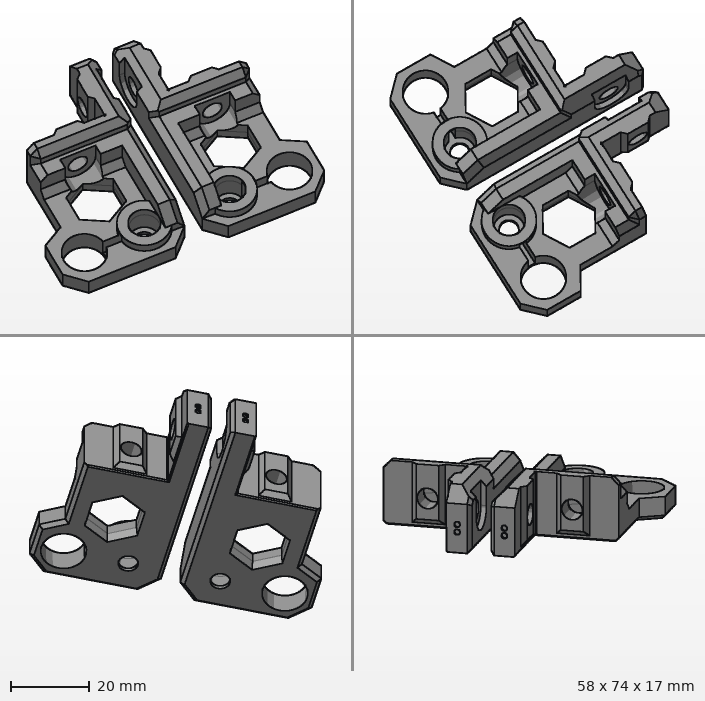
import cadquery as cq
import math

body_gap = 5.0
length = 58.0
width = 34.5
height = 17.0

arm_thickness = 6.5
arm_top_bevel = 3.4
arm_end_bevel = 4.0
arm_corner_bevel = 1.0
arm_corner_drop = 1.55
post_x = 20.0
post_width = 28.5
post_top = 2.0
post_bevel = 2.0
ledge_width = 4.0
ledge_z = 13.0
foot_bevel = 2.0

plate_thickness = 6.0
plate_corner = 4.95
ear_x = 39.5
ear_slope = 60.0
plate_bottom_bevel = 1.0
wall_bottom_bevel = 0.4

rail_width = 5.4
rail_bevel = 2.0
rail_slope_x = 48.6
rail_slope_drop = 3.5

pad_depth = 1.3
pad_flat = 6.0
pad_bottom_z = 1.1
arm_pad_x = 10.0
post_pad_y = 16.5
arm_hole_z = 8.6
post_hole_z = 8.1
wall_hole = 5.4
head_slot_width = 10.0
arm_slot_depth = 1.5
post_slot_x = 25.0

screw_hole = 5.0
hex_x = 35.7
hex_flats = 13.25
hex_mouth_flats = 13.8
hex_mouth_depth = 3.0
bore_x = 49.3
clearance_bore = 11.6
clearance_bore_y = 26.5
ring_y = 9.55
ring_diameter = 14.0
ring_top = 8.5
socket_diameter = 8.0
socket_mouth = 8.3
socket_mouth_z = 6.6
socket_floor_z = 1.0
tie_slot_width = 2.0
tie_slot_top = 8.1

marker_diameter = 1.5
marker_depth = 0.5
marker_y = 3.7
marker_heights = (5.5, 7.5)
relief_reach = 0.3

slope_x = post_x + post_top
riser_x = slope_x + post_bevel
ledge_end = riser_x + ledge_width
foot_end = ledge_end + foot_bevel
rail_end = length - plate_corner
riser_top = height - post_bevel
far = 2 * length


def prism_y(points, y0, y1):
    """Solid with an XZ outline, reaching from y0 to y1."""
    return cq.Workplane("XZ", origin=(0, y0, 0)).polyline(points).close().extrude(y0 - y1)


def prism_x(points, x0, x1):
    """Solid with a YZ outline, reaching from x0 to x1."""
    return cq.Workplane("YZ", origin=(x0, 0, 0)).polyline(points).close().extrude(x1 - x0)


def prism_z(points, z0, z1):
    """Solid with an XY outline, reaching from z0 to z1."""
    return cq.Workplane("XY", origin=(0, 0, z0)).polyline(points).close().extrude(z1 - z0)


def cylinder_z(x, y, diameter, z0, z1):
    return cq.Workplane("XY", origin=(x, y, z0)).circle(diameter / 2).extrude(z1 - z0)


def beyond(point, normal):
    """Everything on the outer side of a plane, as a large block."""
    plane = cq.Plane(origin=point, normal=normal)
    return cq.Workplane(plane).rect(far, far).extrude(far)


def make_arm():
    outline = [
        (0, 0), (slope_x, 0), (slope_x, height),
        (arm_end_bevel, height), (0, height - arm_end_bevel),
    ]
    arm = prism_y(outline, 0, arm_thickness)
    arm = arm.cut(beyond((0, 0, height - arm_top_bevel), (0, -1, 1)))
    arm = arm.cut(beyond((0, arm_corner_bevel, 0), (-1, -1, 0)))
    corner_normal = (-1, -arm_corner_drop / arm_corner_bevel, 1)
    return arm.cut(beyond((0, arm_corner_bevel, height - arm_end_bevel), corner_normal))


def make_post():
    """Stepped post whose upper edges are bevelled at both ends."""
    foot_z = plate_thickness + foot_bevel
    outline = [
        (post_x, 0), (foot_end, 0), (foot_end, plate_thickness),
        (ledge_end, foot_z), (ledge_end, ledge_z), (riser_x, ledge_z),
        (riser_x, riser_top), (slope_x, height), (post_x, height),
    ]
    post = prism_y(outline, 0, post_width)
    inset = post_width - post_bevel
    post = post.cut(beyond((0, inset, height), (0, 1, 1)))
    upper_part = prism_y(
        [(post_x, ledge_z), (riser_x, ledge_z), (riser_x, height), (post_x, height)], 0, post_width
    )
    post = post.cut(beyond((riser_x, inset, riser_top), (1, 1, 1)).intersect(upper_part))
    post = post.cut(beyond((0, 0, height - arm_top_bevel), (0, -1, 1)))

    ledge_low = ledge_z - post_bevel
    outer_ledge = prism_x(
        [(inset, ledge_z), (post_width, ledge_low), (post_width, far), (inset, far)], slope_x, far
    )
    outer_turn = prism_z(
        [(riser_x, inset), (slope_x, post_width), (far, post_width), (far, inset)], 0, far
    )
    inner_ledge = prism_x(
        [(0, ledge_low), (post_bevel, ledge_z), (post_bevel, far), (0, far)], slope_x, far
    )
    inner_turn = prism_z([(slope_x, 0), (riser_x, post_bevel), (far, post_bevel), (far, 0)], 0, far)
    return post.cut(outer_ledge.intersect(outer_turn)).cut(inner_ledge.intersect(inner_turn))


def make_rail():
    slope_drop = rail_end - rail_slope_x
    outline = [
        (ledge_end, 0), (rail_end, 0), (rail_end, ledge_z - slope_drop),
        (rail_slope_x, ledge_z), (ledge_end, ledge_z),
    ]
    rail = prism_y(outline, 0, rail_width)
    rail = rail.cut(beyond((0, rail_bevel, ledge_z), (0, -1, 1)))
    end_normal = (1.351, -rail_slope_drop / rail_bevel, 1.351)
    return rail.cut(beyond((rail_slope_x, rail_bevel, ledge_z), end_normal))


def make_plate():
    ear_run = (width - post_width) / math.tan(math.radians(ear_slope))
    outline = [
        (post_x, 0), (rail_end, 0), (length, plate_corner), (length, width - plate_corner),
        (rail_end, width), (ear_x + ear_run, width), (ear_x, post_width), (post_x, post_width),
    ]
    plate = prism_z(outline, 0, plate_thickness)
    return plate.faces("<Z").edges("not <X").chamfer(plate_bottom_bevel)


def make_pad():
    """Grip pad with 45 degree sides around a vertical centre line, rising from y = 0 along +Y."""
    half_flat = pad_flat / 2
    half_base = half_flat + pad_depth
    outline = [(-half_base, 0), (half_base, 0), (half_flat, pad_depth), (-half_flat, pad_depth)]
    pad = prism_z(outline, pad_bottom_z, height)
    return pad.cut(beyond((0, 0, pad_bottom_z), (0, 1, -1)))


def head_slot(hole_z, y0, y1):
    """Slot with a round bottom, open upward, around a hole along Y at x = 0."""
    round_end = cq.Workplane("XZ", origin=(0, y0, hole_z)).circle(head_slot_width / 2).extrude(y0 - y1)
    half = head_slot_width / 2
    shaft = prism_y([(-half, hole_z), (half, hole_z), (half, far), (-half, far)], y0, y1)
    return round_end.union(shaft)


def screw_bore(hole_z, y0, y1):
    return cq.Workplane("XZ", origin=(0, y0, hole_z)).circle(wall_hole / 2).extrude(y0 - y1)


def on_arm(shape):
    return shape.translate((arm_pad_x, 0, 0))


def on_post(shape):
    """Turn a tool made along +Y so that it points along -X at the post pad."""
    return shape.rotate((0, 0, 0), (0, 0, 1), 90).translate((0, post_pad_y, 0))


def hexagon(z, flats):
    """Hexagon outline for the nut opening, with corners along X."""
    return cq.Workplane("XY", origin=(hex_x, post_pad_y, z)).polygon(6, flats / math.cos(math.pi / 6))


def cut_hexagon(bracket):
    """Through hexagon that flares slightly towards the underside."""
    straight = hexagon(0, hex_flats).extrude(plate_thickness)
    flare = cq.Workplane(cq.Solid.makeLoft([
        hexagon(0, hex_mouth_flats).val(),
        hexagon(hex_mouth_depth, hex_flats).val(),
    ]))
    return bracket.cut(straight).cut(flare)


def cut_ring_socket(bracket):
    """Socket with a slightly conical mouth and a screw hole through its floor."""
    screw = cylinder_z(bore_x, ring_y, screw_hole, 0, height)
    socket = cylinder_z(bore_x, ring_y, socket_diameter, socket_floor_z, ring_top)
    mouth = cq.Workplane(cq.Solid.makeCone(
        socket_diameter / 2, socket_mouth / 2, ring_top - socket_mouth_z,
        pnt=cq.Vector(bore_x, ring_y, socket_mouth_z),
    ))
    return bracket.cut(screw).cut(socket).cut(mouth)


def cut_clearance_bore(bracket):
    """Large through bore, joined to the ring socket by a narrow slot."""
    bore = cylinder_z(bore_x, clearance_bore_y, clearance_bore, 0, plate_thickness)
    left = bore_x - tie_slot_width / 2
    right = bore_x + tie_slot_width / 2
    slot = prism_z(
        [(left, ring_y), (right, ring_y), (right, clearance_bore_y), (left, clearance_bore_y)],
        socket_floor_z, tie_slot_top,
    )
    return bracket.cut(bore).cut(slot)


def cut_markers(bracket):
    for z in marker_heights:
        marker = cq.Workplane("YZ", origin=(0, marker_y, z)).circle(marker_diameter / 2)
        bracket = bracket.cut(marker.extrude(marker_depth))
    return bracket


def cut_corner_relief(bracket):
    """Small diamond notch where the outer faces of arm and post meet."""
    outline = [
        (post_x - relief_reach, arm_thickness), (post_x, arm_thickness - relief_reach),
        (post_x + relief_reach, arm_thickness), (post_x, arm_thickness + relief_reach),
    ]
    return bracket.cut(prism_z(outline, 0, height))


def cut_bottom_bevels(bracket):
    bracket = bracket.cut(beyond((0, plate_bottom_bevel, 0), (0, -1, -1)))
    arm_bevel = prism_x(
        [(arm_thickness, 0), (arm_thickness, wall_bottom_bevel), (arm_thickness - wall_bottom_bevel, 0)],
        0, post_x,
    )
    post_side_bevel = prism_y(
        [(post_x, 0), (post_x + wall_bottom_bevel, 0), (post_x, wall_bottom_bevel)],
        arm_thickness - wall_bottom_bevel, post_width,
    )
    inset = post_width - plate_bottom_bevel
    post_end_bevel = prism_x(
        [(post_width, 0), (post_width, plate_bottom_bevel), (inset, 0)], post_x, foot_end
    )
    return bracket.cut(arm_bevel).cut(post_side_bevel).cut(post_end_bevel)


def make_bracket():
    bracket = make_plate().union(make_post()).union(make_arm()).union(make_rail())
    bracket = cut_bottom_bevels(bracket)
    bracket = bracket.union(cylinder_z(bore_x, ring_y, ring_diameter, plate_thickness, ring_top))

    bracket = bracket.union(on_arm(make_pad().translate((0, arm_thickness, 0))))
    bracket = bracket.union(on_post(make_pad().translate((0, -post_x, 0))))
    bracket = bracket.cut(on_arm(screw_bore(arm_hole_z, 0, arm_thickness + pad_depth)))
    bracket = bracket.cut(on_post(screw_bore(post_hole_z, -hex_x, pad_depth - post_x)))
    bracket = bracket.cut(on_arm(head_slot(arm_hole_z, 0, arm_slot_depth)))
    bracket = bracket.cut(on_post(head_slot(post_hole_z, -hex_x, -post_slot_x)))
    bracket = cut_hexagon(bracket)
    bracket = cut_ring_socket(bracket)
    bracket = cut_clearance_bore(bracket)
    return cut_corner_relief(cut_markers(bracket))


left_bracket = make_bracket().translate((0, body_gap / 2, 0))
right_bracket = left_bracket.mirror("XZ")

result = cq.Compound.makeCompound([left_bracket.val(), right_bracket.val()])